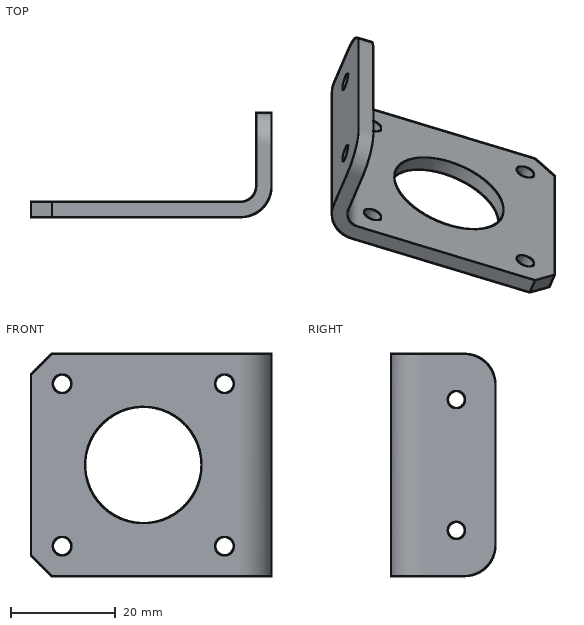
import cadquery as cq

length = 46.0
depth = 20.0
height = 42.5

thickness = 3.0
bend_outer_radius = 6.0
bend_inner_radius = bend_outer_radius - thickness

plate_chamfer = 4.0
flange_corner_radius = 6.0

bore_diameter = 22.15
bore_x = 21.5
plate_hole_diameter = 3.5
plate_hole_spacing = 31.0

flange_hole_diameter = 3.2
flange_hole_spacing = 25.0
flange_hole_edge_distance = 7.5

mid_height = height / 2


def bent_sheet():
    """L-shaped sheet: plate along X, flange along Y, rounded bend between them."""
    profile = (
        cq.Workplane("XY")
        .polyline([
            (0, 0),
            (length, 0),
            (length, depth),
            (length - thickness, depth),
            (length - thickness, thickness),
            (0, thickness),
        ])
        .close()
    )
    sheet = profile.extrude(height)
    inner_edge = cq.selectors.NearestToPointSelector((length - thickness, thickness, mid_height))
    outer_edge = cq.selectors.NearestToPointSelector((length, 0, mid_height))
    sheet = sheet.edges("|Z").edges(inner_edge).fillet(bend_inner_radius)
    return sheet.edges("|Z").edges(outer_edge).fillet(bend_outer_radius)


def plate_holes():
    """Cutters for the bore and the four holes, running through the plate along Y."""
    plane = cq.Workplane("XZ", origin=(bore_x, 0, mid_height))
    bore = plane.circle(bore_diameter / 2).extrude(-thickness)
    corner_holes = (
        plane.rect(plate_hole_spacing, plate_hole_spacing, forConstruction=True)
        .vertices()
        .circle(plate_hole_diameter / 2)
        .extrude(-thickness)
    )
    return bore.union(corner_holes)


def flange_holes():
    """Cutters for the two holes running through the flange along X."""
    hole_y = depth - flange_hole_edge_distance
    return (
        cq.Workplane("YZ", origin=(length - thickness, hole_y, mid_height))
        .pushPoints([(0, -flange_hole_spacing / 2), (0, flange_hole_spacing / 2)])
        .circle(flange_hole_diameter / 2)
        .extrude(thickness)
    )


bracket = bent_sheet()
bracket = bracket.faces("<X").edges("|Y").chamfer(plate_chamfer)
bracket = bracket.faces(">Y").edges("|X").fillet(flange_corner_radius)
result = bracket.cut(plate_holes()).cut(flange_holes())